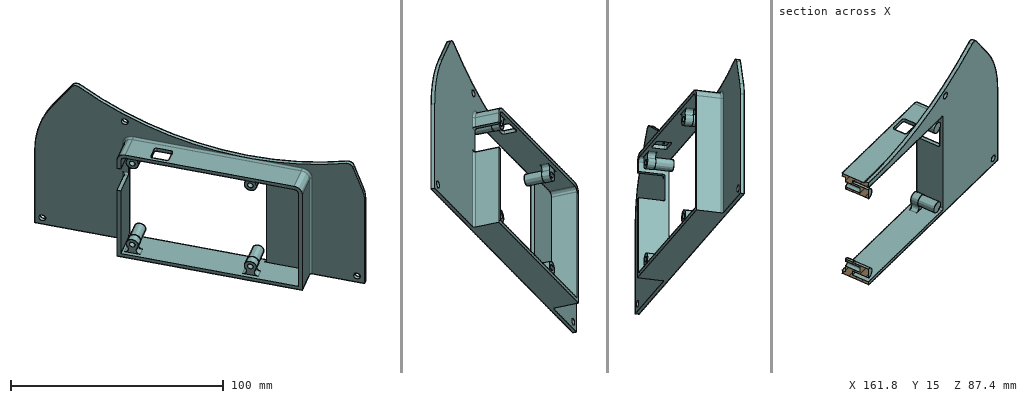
import cadquery as cq
import math


plate_length = 161.8
plate_height = 87.4
plate_thickness = 2.0
shoulder_radius = 48.5
shoulder_start = 44.8
left_lean = 34.4
right_lean = 20.1
right_bend_height = 53.2
right_bend_radius = 16.2
valley_radius = 154.5
valley_x = 104.5
valley_z = 63.0
left_tip_radius = 2.8
right_tip_radius = 2.8

plate_hole_diameter = 3.2
plate_hole_points = [(3.7, 3.7), (158.1, 3.7), (44.2, 71.0)]

total_depth = 15.0
wall = 2.0
box_left = 44.2
box_right = 135.1
box_top = 62.0
box_corner_radius = 4.0
foot_fillet = 1.0
gap_bottom = 39.8
gap_top = 53.0

opening_right = 113.6
opening_corner_radius = 1.0

window_left = 60.0
window_width = 8.9
window_depth = 7.5
window_front_margin = 1.8
window_corner_radius = 1.0

collar_diameter = 6.0
collar_depth = 4.0
pin_diameter = 5.7
boss_hole_diameter = 2.8
boss_hole_depth = 8.1
boss_recess = 2.0
boss_left = 51.1
boss_bottom = 7.0
boss_pitch_x = 58.0
boss_pitch_z = 49.0
web_fillet = 2.0

cavity_left = box_left + wall
cavity_right = box_right - wall
cavity_top = box_top - wall
overrun = 8.1


def block(x_min, x_max, z_min, z_max, y_back, y_front):
    """Box between two corners in the XZ plane, from depth y_back to y_front."""
    return (
        cq.Workplane("XZ", origin=(0, -y_back, 0))
        .moveTo((x_min + x_max) / 2, (z_min + z_max) / 2)
        .rect(x_max - x_min, z_max - z_min)
        .extrude(y_front - y_back)
    )


def meet_valley(x, z, direction_x, direction_z):
    """Point where a ray from (x, z) first meets the concave top edge."""
    offset_x = x - valley_x
    offset_z = z - (valley_z + valley_radius)
    half_b = offset_x * direction_x + offset_z * direction_z
    c = offset_x**2 + offset_z**2 - valley_radius**2
    distance = -half_b - math.sqrt(half_b**2 - c)
    return x + distance * direction_x, z + distance * direction_z


def outline_prism():
    """Plate outline, extruded over the full depth of the part."""
    lean = math.radians(left_lean)
    opposite_lean = math.radians(right_lean)

    def shoulder_point(angle):
        x = shoulder_radius * (1 - math.cos(angle))
        return x, shoulder_start + shoulder_radius * math.sin(angle)

    shoulder_end = shoulder_point(lean)
    left_tip = meet_valley(*shoulder_end, math.sin(lean), math.cos(lean))
    right_tip = meet_valley(
        plate_length, right_bend_height, -math.sin(opposite_lean), math.cos(opposite_lean)
    )
    prism = (
        cq.Workplane("XZ")
        .lineTo(plate_length, 0)
        .lineTo(plate_length, right_bend_height)
        .lineTo(*right_tip)
        .threePointArc((valley_x, valley_z), left_tip)
        .lineTo(*shoulder_end)
        .threePointArc(shoulder_point(lean / 2), (0, shoulder_start))
        .close()
        .extrude(total_depth)
    )
    rounded_corners = [
        (left_tip, left_tip_radius),
        (right_tip, right_tip_radius),
        ((plate_length, right_bend_height), right_bend_radius),
    ]
    for (x, z), radius in rounded_corners:
        corner = cq.selectors.NearestToPointSelector((x, -total_depth / 2, z))
        prism = prism.edges("|Y").edges(corner).fillet(radius)
    return prism


def plate_with_frame():
    """Plate carrying the filleted frame, hollowed and trimmed to the outline."""
    frame = block(box_left, box_right, -overrun, box_top, plate_thickness, total_depth)
    frame = frame.edges("|Y and >Z").fillet(box_corner_radius)
    gap = block(
        box_left - overrun, cavity_left + 2 * foot_fillet, gap_bottom, gap_top,
        plate_thickness, total_depth,
    )
    frame = frame.cut(gap)
    slab = block(0, plate_length, -overrun, plate_height + overrun, 0, plate_thickness)
    foot = cq.selectors.BoxSelector(
        (box_left - foot_fillet, -plate_thickness - foot_fillet / 2, -overrun / 2),
        (box_right + foot_fillet, -plate_thickness + foot_fillet / 2, box_top + foot_fillet),
    )
    body = slab.union(frame).edges(foot).fillet(foot_fillet)

    cavity = block(cavity_left, cavity_right, wall, cavity_top, plate_thickness, total_depth)
    cavity = cavity.edges("|Y and >Z").fillet(box_corner_radius - wall)
    opening = block(cavity_left, opening_right, wall, cavity_top, 0, plate_thickness)
    opening = opening.edges("|Y").fillet(opening_corner_radius)
    return body.cut(cavity).cut(opening).intersect(outline_prism())


def window():
    """Rounded cutter for the window in the top wall."""
    return (
        cq.Workplane("XY", origin=(0, 0, cavity_top))
        .moveTo(window_left + window_width / 2, window_front_margin + window_depth / 2 - total_depth)
        .rect(window_width, window_depth)
        .extrude(wall)
        .edges("|Z")
        .fillet(window_corner_radius)
    )


def standoff(x, z, wall_z):
    """Pin and collar, with a web whose hollow flanks join the collar to the wall at wall_z."""
    boss_front = total_depth - boss_recess
    collar_radius = collar_diameter / 2
    pin = cq.Workplane("XZ").moveTo(x, z).circle(pin_diameter / 2).extrude(boss_front)
    collar_plane = cq.Workplane("XZ", origin=(0, collar_depth - boss_front, 0))
    collar = collar_plane.moveTo(x, z).circle(collar_radius).extrude(collar_depth)

    side = math.copysign(1, z - wall_z)
    center_z = wall_z + side * web_fillet
    drop = z - center_z
    reach = math.sqrt((collar_radius + web_fillet) ** 2 - drop**2)
    share = collar_radius / (collar_radius + web_fillet)
    touch_x = share * reach
    touch_z = z - share * drop
    waist = reach - web_fillet
    web = (
        collar_plane.moveTo(x - reach, wall_z)
        .threePointArc((x - waist, center_z), (x - touch_x, touch_z))
        .lineTo(x + touch_x, touch_z)
        .threePointArc((x + waist, center_z), (x + reach, wall_z))
        .close()
        .extrude(collar_depth)
    )
    return pin.union(collar).union(web)


plate_holes = (
    cq.Workplane("XZ")
    .pushPoints(plate_hole_points)
    .circle(plate_hole_diameter / 2)
    .extrude(plate_thickness)
)

result = plate_with_frame().cut(plate_holes).cut(window())

boss_columns = [boss_left, boss_left + boss_pitch_x]
boss_rows = [(boss_bottom, wall), (boss_bottom + boss_pitch_z, cavity_top)]
for boss_z, wall_z in boss_rows:
    for boss_x in boss_columns:
        result = result.union(standoff(boss_x, boss_z, wall_z))

boss_holes = (
    cq.Workplane("XZ", origin=(0, boss_recess + boss_hole_depth - total_depth, 0))
    .pushPoints([(x, z) for z, _ in boss_rows for x in boss_columns])
    .circle(boss_hole_diameter / 2)
    .extrude(boss_hole_depth)
)
result = result.cut(boss_holes)